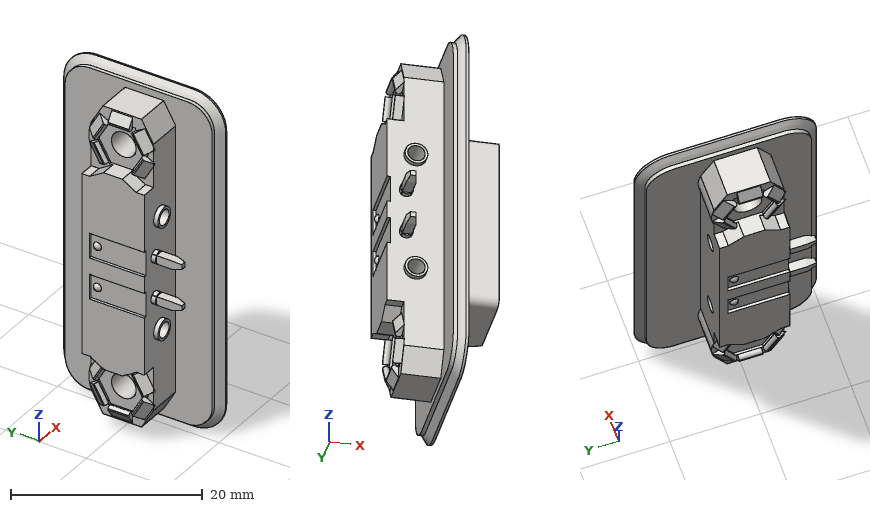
import cadquery as cq
import math


SHELF_X = 1.8
FLANGE_X = 6.05
RIM_STEP_X = 6.5
RIM_BREAK_X = 6.75
RIM_EDGE_X = 7.25
FLANGE_END_X = 7.55
TOTAL_DEPTH = 12.0

FLANGE_LENGTH = 41.8
FLANGE_WIDTH = 20.05
FLANGE_RADIUS = 3.95
PLATEAU_INSET = 0.9
BREAK_INSET = 0.55
FLANGE_EDGE_RADIUS = 0.15

HOUSING_TOP_Y = 3.15
HOUSING_BOTTOM_Y = -4.6
SCREW_Y = -0.7
SCREW_Z = 14.95
SCREW_DIAMETER = 3.05
HEX_APOTHEM = 4.15
NUT_APOTHEM = 2.75
NUT_FLOOR_X = 2.1
SLAB_FLAT_Z = SCREW_Z - NUT_APOTHEM
SLAB_SHOULDER_Z = 11.15
SLAB_FLAT_HALF = 1.15
SLAB_SHOULDER_HALF = 2.9

CLIP_WIDTH = 2.6
CLIP_TIP_X = 1.05
CLIP_NOSE_X = 1.4
CLIP_OUTER_R = 3.95
CLIP_TIP_OUTER_R = 2.9
CLIP_TIP_INNER_R = 2.7
CLIP_NOSE_R = 2.45
CLIP_ANGLES = (-30, 30, 90, 150, 210)

TERMINAL_Z = 2.55
RECESS_HEIGHT = 3.05
RECESS_TOP_Y = 2.2
RECESS_DEPTH = 0.35
DOME_Y = 1.4
DOME_RADIUS = 0.55

COLLAR_LENGTH = 0.55
PIN_X = 2.0
COLLAR_DIAMETER = 1.4
PIN_SIDE = 1.05
PIN_TIP_SIDE = 0.6
PIN_TAPER_Y = -7.1
PIN_END_Y = -8.15
EYELET_X = 3.0
EYELET_Z = 6.98
EYELET_DIAMETER = 2.42
EYELET_BORE = 1.85

PLUG_HALF_LENGTH = 10.1
PLUG_RADIUS = 1.0
RIDGE_X = 8.95
RIDGE_TOP_Y = 4.1
RIDGE_CURVE_X = 10.55
RIDGE_END_Y = 3.6


def plate(x_start, x_end, inset_start, inset_end):
    """Flange layer between two X planes, tapering from one edge inset to another."""
    def outline(inset):
        sketch = cq.Sketch().rect(FLANGE_WIDTH - 2 * inset, FLANGE_LENGTH - 2 * inset)
        return sketch.vertices().fillet(FLANGE_RADIUS - inset)

    layer = cq.Workplane("YZ", origin=(x_start, 0, 0)).placeSketch(
        outline(inset_start), outline(inset_end).moved(cq.Location(cq.Vector(0, 0, x_end - x_start))))
    return layer.loft(ruled=True)


def hexagon_prism(x_start, x_end, apothem, center_z):
    """Hexagonal prism along X around a screw axis, with flats facing +Z and -Z."""
    corner_diameter = 2 * apothem / math.cos(math.pi / 6)
    sketch_plane = cq.Workplane("YZ", origin=(x_start, SCREW_Y, center_z))
    return sketch_plane.polygon(6, corner_diameter).extrude(x_end - x_start)


def block(x_range, y_range, z_half):
    """Box centred on Z = 0."""
    size_x = x_range[1] - x_range[0]
    size_y = y_range[1] - y_range[0]
    corner = (x_range[0], y_range[0], -z_half)
    return cq.Workplane("XY", origin=corner).box(size_x, size_y, 2 * z_half, centered=False)


def cylinder_along_x(x_range, y, z, diameter):
    axis_start = cq.Workplane("YZ", origin=(x_range[0], y, z))
    return axis_start.circle(diameter / 2).extrude(x_range[1] - x_range[0])


def cylinder_toward_minus_y(x, y_start, z, diameter, length):
    return cq.Workplane("XZ", origin=(x, y_start, z)).circle(diameter / 2).extrude(length)


def flange():
    body = plate(FLANGE_X, RIM_STEP_X, PLATEAU_INSET, PLATEAU_INSET)
    body = body.union(plate(RIM_STEP_X, RIM_BREAK_X, PLATEAU_INSET, BREAK_INSET))
    body = body.union(plate(RIM_BREAK_X, RIM_EDGE_X, BREAK_INSET, 0))
    rim = plate(RIM_EDGE_X, FLANGE_END_X, 0, 0).faces(">X").edges().fillet(FLANGE_EDGE_RADIUS)
    return body.union(rim)


def raised_slab():
    """Slab standing above the shelves, its ends stepping around the nuts."""
    upper_end = [
        (HOUSING_TOP_Y, SLAB_SHOULDER_Z),
        (SCREW_Y + SLAB_SHOULDER_HALF, SLAB_SHOULDER_Z),
        (SCREW_Y + SLAB_FLAT_HALF, SLAB_FLAT_Z),
        (SCREW_Y - SLAB_FLAT_HALF, SLAB_FLAT_Z),
        (SCREW_Y - SLAB_SHOULDER_HALF, SLAB_SHOULDER_Z),
        (HOUSING_BOTTOM_Y, SLAB_SHOULDER_Z),
    ]
    lower_end = [(y, -z) for y, z in reversed(upper_end)]
    return cq.Workplane("YZ").polyline(upper_end + lower_end).close().extrude(SHELF_X)


def housing():
    depth = (SHELF_X, FLANGE_X)
    body = block(depth, (HOUSING_BOTTOM_Y, HOUSING_TOP_Y), SCREW_Z)
    trim = block(depth, (HOUSING_BOTTOM_Y, HOUSING_TOP_Y), FLANGE_LENGTH / 2)
    bulge_zone = block(depth, (HOUSING_TOP_Y, FLANGE_WIDTH / 2), FLANGE_LENGTH / 2)
    for side in (1, -1):
        end = hexagon_prism(SHELF_X, FLANGE_X, HEX_APOTHEM, side * SCREW_Z)
        bulge = cylinder_along_x(depth, SCREW_Y, side * SCREW_Z, 2 * HEX_APOTHEM)
        body = body.union(end.intersect(trim)).union(bulge.intersect(bulge_zone))
    return body.union(raised_slab())


def plug_block():
    """Mating block with rounded -Y corners and a curved ridge along its +Y side."""
    body = block((FLANGE_END_X, TOTAL_DEPTH), (HOUSING_BOTTOM_Y, HOUSING_TOP_Y), PLUG_HALF_LENGTH)
    body = body.edges("|X and <Y").fillet(PLUG_RADIUS)
    ridge = (
        cq.Workplane("XY", origin=(0, 0, -PLUG_HALF_LENGTH))
        .moveTo(RIDGE_X, 0)
        .lineTo(RIDGE_X, RIDGE_TOP_Y)
        .lineTo(RIDGE_CURVE_X, RIDGE_TOP_Y)
        .tangentArcPoint((TOTAL_DEPTH, RIDGE_END_Y), relative=False)
        .lineTo(TOTAL_DEPTH, 0)
        .close()
        .extrude(2 * PLUG_HALF_LENGTH)
    )
    return body.union(ridge)


def clip(angle, side):
    """Nut clip at an angle around a screw axis; side selects the upper or lower screw."""
    profile = (
        cq.Workplane("XY", origin=(0, 0, -CLIP_WIDTH / 2))
        .moveTo(SHELF_X, CLIP_OUTER_R)
        .lineTo(CLIP_TIP_X, CLIP_TIP_OUTER_R)
        .lineTo(CLIP_TIP_X, CLIP_TIP_INNER_R)
        .threePointArc((CLIP_NOSE_X, CLIP_NOSE_R), (SHELF_X, NUT_APOTHEM))
        .close()
        .extrude(CLIP_WIDTH)
    )
    turned = profile.rotate((0, 0, 0), (1, 0, 0), side * angle)
    return turned.translate((0, SCREW_Y, side * SCREW_Z))


def terminal(side):
    """Dome, collar and tapered square pin of one contact."""
    z = side * TERMINAL_Z
    dome = cq.Workplane("XY").sphere(DOME_RADIUS).translate((DOME_RADIUS, DOME_Y, z))
    collar = cylinder_toward_minus_y(PIN_X, HOUSING_BOTTOM_Y, z, COLLAR_DIAMETER, COLLAR_LENGTH)
    shank = (
        cq.Workplane("XZ", origin=(PIN_X, HOUSING_BOTTOM_Y, z))
        .rect(PIN_SIDE, PIN_SIDE)
        .extrude(HOUSING_BOTTOM_Y - PIN_TAPER_Y)
    )
    tip = (
        cq.Workplane("XZ", origin=(PIN_X, PIN_TAPER_Y, z))
        .rect(PIN_SIDE, PIN_SIDE)
        .workplane(offset=PIN_TAPER_Y - PIN_END_Y)
        .rect(PIN_TIP_SIDE, PIN_TIP_SIDE)
        .loft(ruled=True)
    )
    return dome.union(collar).union(shank).union(tip)


def terminal_recess(side):
    height = RECESS_TOP_Y - HOUSING_BOTTOM_Y
    recess = block((0, RECESS_DEPTH), (RECESS_TOP_Y - height, RECESS_TOP_Y), RECESS_HEIGHT / 2)
    return recess.translate((0, 0, side * TERMINAL_Z))


result = flange().union(housing()).union(plug_block())

for side in (1, -1):
    result = result.cut(hexagon_prism(SHELF_X, NUT_FLOOR_X, NUT_APOTHEM, side * SCREW_Z))
    result = result.cut(cylinder_along_x((0, TOTAL_DEPTH), SCREW_Y, side * SCREW_Z, SCREW_DIAMETER))
    for angle in CLIP_ANGLES:
        result = result.union(clip(angle, side))

    result = result.cut(terminal_recess(side)).union(terminal(side))

    eyelet_z = side * EYELET_Z
    result = result.union(
        cylinder_toward_minus_y(EYELET_X, HOUSING_BOTTOM_Y, eyelet_z, EYELET_DIAMETER, COLLAR_LENGTH))
    result = result.cut(
        cylinder_toward_minus_y(EYELET_X, FLANGE_WIDTH / 2, eyelet_z, EYELET_BORE, FLANGE_WIDTH))